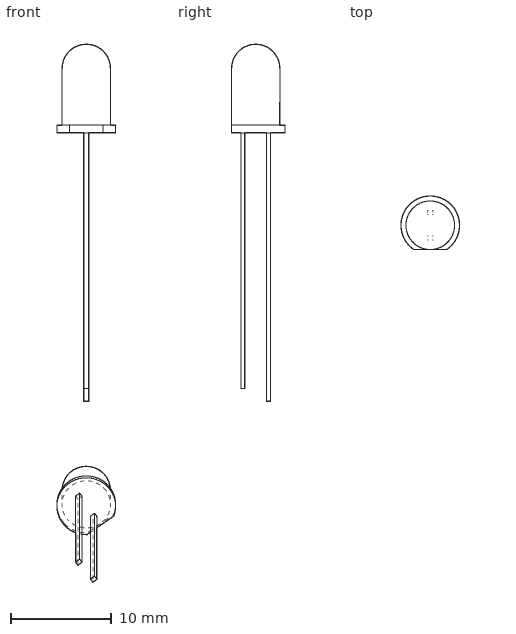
import cadquery as cq

lens_radius = 2.413
lens_height = 8.81
dome_base_height = lens_height - lens_radius

flange_radius = 2.921
flange_thickness = 0.762
flat_y = -lens_radius

lead_width_x = 0.508
lead_width_y = 0.406
lead_pitch = 2.54
long_lead_length = 26.67
short_lead_length = 25.4


def make_lens():
    """Revolve the half profile of the domed lens about Z."""
    return (
        cq.Workplane("XZ")
        .lineTo(lens_radius, 0)
        .lineTo(lens_radius, dome_base_height)
        .radiusArc((0, lens_height), -lens_radius)
        .close()
        .revolve(360, (0, 0, 0), (0, 1, 0))
    )


def make_flange():
    """Round rim with everything beyond the flat removed."""
    disc = cq.Workplane("XY").circle(flange_radius).extrude(flange_thickness)
    kept_depth = flange_radius - flat_y
    kept_side = (
        cq.Workplane("XY")
        .center(0, flat_y + kept_depth / 2)
        .rect(2 * flange_radius, kept_depth)
        .extrude(flange_thickness)
    )
    return disc.intersect(kept_side)


def make_lead(center_y, length):
    """Straight lead hanging down from the underside of the flange."""
    return (
        cq.Workplane("XY")
        .center(0, center_y)
        .rect(lead_width_x, lead_width_y)
        .extrude(-length)
    )


long_lead = make_lead(lead_pitch / 2, long_lead_length)
short_lead = make_lead(-lead_pitch / 2, short_lead_length)

result = make_lens().union(make_flange()).union(long_lead).union(short_lead)